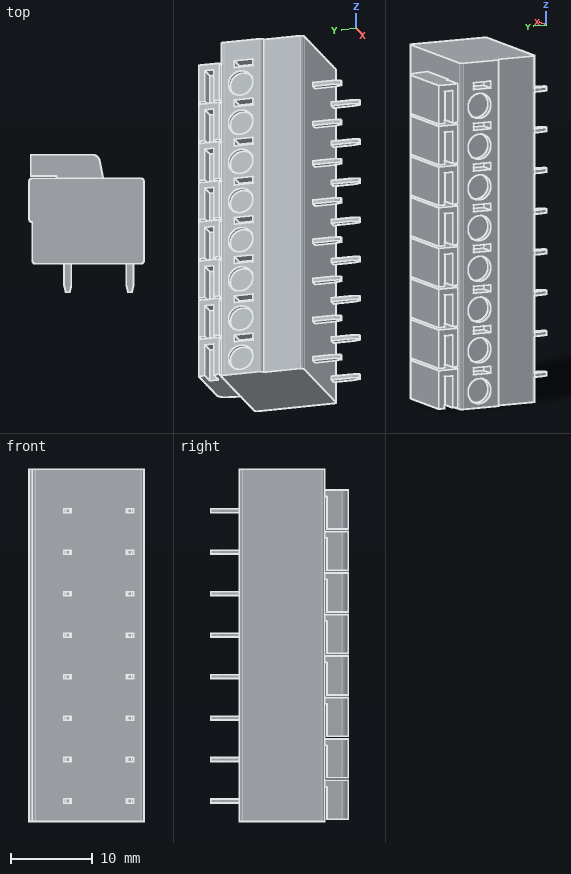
import cadquery as cq
import math

pole_count = 8
pitch = 5.08
end_margin = pitch / 2
body_height = pole_count * pitch + end_margin

body_width = 14.1
body_depth = 10.5
step_y = 5.1
edge_radius = 0.4
step_inset = edge_radius

entry_radius = 1.56
entry_depth = 0.8
entry_inset = 2.58
entry_y = body_depth - entry_inset
entry_drop = 5.5
slot_width = 2.35
slot_height = 0.86
slot_depth = 2.0
slot_inset = 2.96
slot_y = body_depth - slot_inset

lever_front_x = 0.22
lever_base_x = 9.1
lever_slant = math.radians(11)
lever_nose_radius = 1.0
lever_gap = 0.25
lever_rise = 2.9
lever_top_y = body_depth + lever_rise
lever_height = 4.8
neck_front_x = 3.35
neck_height = 0.8
groove_width = 1.1
groove_drop = 1.38
groove_depth = 2.0
groove_top_wall = neck_height

pin_length = 3.5
pin_width = 0.92
pin_thickness = 0.5
pin_tip_width = 0.5
pin_taper_length = 0.9
pin_first_x = 4.75
pin_row_spacing = 7.62


def box(x_range, y_range, z_range):
    """Axis-aligned box from its (low, high) limits along each axis."""
    size = [high - low for low, high in (x_range, y_range, z_range)]
    corner = (x_range[0], y_range[0], z_range[0])
    return cq.Workplane("XY").box(*size, centered=False).translate(corner)


def extrude_along_z(outline, bottom_z, height):
    """Prism standing on bottom_z whose XY section is the closed outline."""
    return cq.Workplane("XY").workplane(offset=bottom_z).polyline(outline).close().extrude(height)


def make_body():
    """Stepped housing with rounded long edges; the two blocks overlap above the step."""
    upper = box((0, body_width), (step_y, body_depth), (0, body_height))
    upper = upper.edges("|Z").edges("<X or >Y").fillet(edge_radius)
    lower = box((step_inset, body_width), (0, step_y + edge_radius), (0, body_height))
    lower = lower.edges("|Z").edges("<Y").fillet(edge_radius)
    return upper.union(lower)


def make_lever(top_z):
    """Lever standing clear of the housing, joined to it by a neck at its top end."""
    bottom_z = top_z - lever_height
    underside_y = body_depth + lever_gap
    underside_x = lever_base_x - lever_gap * math.tan(lever_slant)
    nose_x = lever_base_x - lever_rise * math.tan(lever_slant)
    outline = [
        (lever_front_x, underside_y),
        (underside_x, underside_y),
        (nose_x, lever_top_y),
        (lever_front_x, lever_top_y),
    ]
    lever = extrude_along_z(outline, bottom_z, lever_height)
    lever = lever.edges("|Z").edges(">Y").edges(">X").fillet(lever_nose_radius)
    neck_outline = [
        (neck_front_x, body_depth),
        (lever_base_x, body_depth),
        (underside_x, underside_y),
        (neck_front_x, underside_y),
    ]
    neck = extrude_along_z(neck_outline, top_z - neck_height, neck_height)
    groove_y = lever_top_y - groove_drop
    groove = box(
        (lever_front_x, lever_front_x + groove_depth),
        (groove_y - groove_width / 2, groove_y + groove_width / 2),
        (bottom_z, top_z - groove_top_wall),
    )
    return lever.cut(groove).union(neck)


def make_entry(center_z):
    """Round wire-entry recess."""
    face = cq.Workplane("YZ").center(entry_y, center_z)
    return face.circle(entry_radius).extrude(entry_depth)


def make_slot(top_z):
    """Rectangular test slot."""
    y_range = (slot_y - slot_width / 2, slot_y + slot_width / 2)
    return box((0, slot_depth), y_range, (top_z - slot_height, top_z))


def make_pin(center_x, center_z):
    """Flat pin whose width tapers towards the tip; its root lies on the housing face."""
    half = pin_width / 2
    half_tip = pin_tip_width / 2
    shoulder_y = pin_taper_length - pin_length
    outline = [
        (-half, 0),
        (-half, shoulder_y),
        (-half_tip, -pin_length),
        (half_tip, -pin_length),
        (half, shoulder_y),
        (half, 0),
    ]
    pin = extrude_along_z(outline, center_z - pin_thickness / 2, pin_thickness)
    return pin.translate((center_x, 0, 0))


result = make_body()
for pole in range(pole_count):
    pole_shift = pole * pitch
    pole_top_z = body_height - end_margin - pole_shift
    pin_z = body_height - pitch - pole_shift
    result = result.cut(make_entry(body_height - entry_drop - pole_shift))
    result = result.cut(make_slot(pole_top_z))
    result = result.union(make_lever(pole_top_z))
    for pin_x in (pin_first_x, pin_first_x + pin_row_spacing):
        result = result.union(make_pin(pin_x, pin_z))